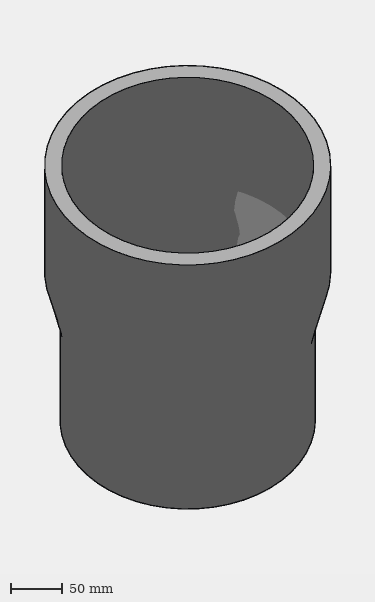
import cadquery as cq

total_height = 348.0
spigot_height = 135.5
taper_height = 66.8
socket_start = spigot_height + taper_height

wide_radius = 280.0 / 2
wide_bore_radius = 246.7 / 2
narrow_radius = 250.2 / 2
narrow_bore_radius = 219.5 / 2


def stepped_solid(lower_radius, upper_radius):
    """Solid of revolution: lower cylinder, conical taper, upper cylinder."""
    return (
        cq.Workplane("XZ")
        .moveTo(0, 0)
        .lineTo(lower_radius, 0)
        .lineTo(lower_radius, spigot_height)
        .lineTo(upper_radius, socket_start)
        .lineTo(upper_radius, total_height)
        .lineTo(0, total_height)
        .close()
        .revolve(360, (0, 0, 0), (0, 1, 0))
    )


body = stepped_solid(narrow_radius, wide_radius)
bore = stepped_solid(narrow_bore_radius, wide_bore_radius)
result = body.cut(bore)